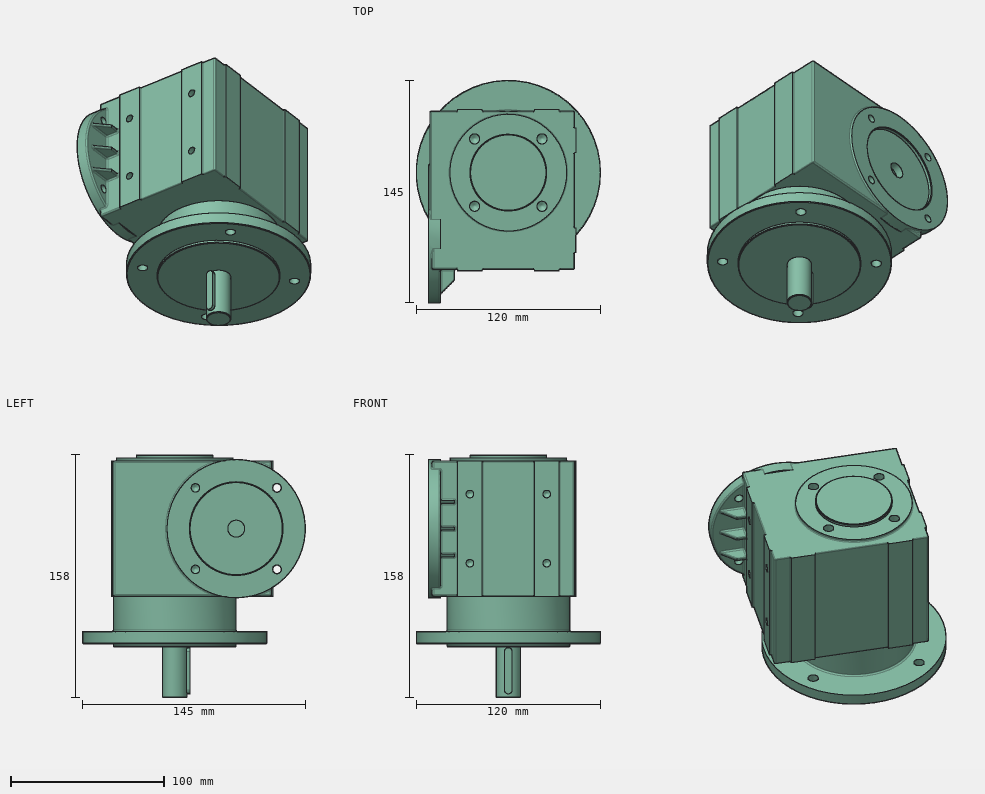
import cadquery as cq
import math


BODY_LEFT = -51.0
CORNER_LEFT = -49.5
BODY_RIGHT = 43.0
BODY_FRONT = -63.0
BODY_BACK = 40.0
BODY_HALF_HEIGHT = 44.0
LARGE_EDGE_RADIUS = 1.0
SMALL_EDGE_RADIUS = 0.5
BODY_CENTER_Y = (BODY_FRONT + BODY_BACK) / 2

PAD_WIDTH = 16.0
PAD_HEIGHT = 1.0
PAD_ROOT_DEPTH = 2.0
PAD_FOOT_RADIUS = 0.5
FRONT_PAD_OFFSET = 25.0
SIDE_PAD_OFFSET = 32.5
PAD_HOLE_DIAMETER = 4.92
PAD_HOLE_OFFSET_Z = 22.5
PAD_HOLE_DEPTH = 12.0

COVER_DIAMETER = 76.0
COVER_HEIGHT = 2.0
COVER_FOOT_RADIUS = 0.5
CAP_DIAMETER = 50.0
CAP_HEIGHT = 2.0
CAP_CHAMFER = 0.5
COVER_HOLE_DIAMETER = 6.6
COVER_HOLE_CIRCLE = 62.0
COVER_HOLE_DEPTH = 12.0

NECK_DIAMETER = 80.0
NECK_LENGTH = 23.0
NECK_FOOT_RADIUS = 1.0
FLANGE_DIAMETER = 120.0
FLANGE_THICKNESS = 8.0
FLANGE_HOLE_DIAMETER = 6.6
FLANGE_HOLE_CIRCLE = 100.0
SPIGOT_HEIGHT = 2.0
EDGE_CHAMFER = 0.5
SHAFT_DIAMETER = 16.0
SHAFT_LENGTH = 33.0
KEY_WIDTH = 5.0
KEY_LENGTH = 30.0
KEY_GAP = 0.5
KEY_TOP = 10.0
KEY_DEPTH = 5.0

INPUT_AXIS_Y = -40.0
INPUT_DIAMETER = 90.0
INPUT_FACE_X = -52.0
INPUT_THICKNESS = 8.0
INPUT_BACK_X = INPUT_FACE_X + INPUT_THICKNESS
INPUT_BACK_RADIUS = 1.0
INPUT_FOOT_RADIUS = 0.95
RECESS_DIAMETER = 60.0
RECESS_DEPTH = 2.5
RECESS_CHAMFER = 0.5
BORE_DIAMETER = 11.0
INPUT_HOLE_DIAMETER = 5.5
INPUT_HOLE_CIRCLE = 75.0
INPUT_HOLE_DEPTH = 14.0

RIB_COUNT = 3
RIB_PITCH = 17.4
RIB_THICKNESS = 2.0
RIB_WIDTH = 9.0
RIB_STRAIGHT = 7.0
RIB_EDGE_RADIUS = 0.5

DRILL_TIP_ANGLE = 118.0

SELECT_MARGIN = 0.05

FLANGE_TOP_Z = -BODY_HALF_HEIGHT - NECK_LENGTH
FLANGE_BOTTOM_Z = FLANGE_TOP_Z - FLANGE_THICKNESS
SPIGOT_BOTTOM_Z = FLANGE_BOTTOM_Z - SPIGOT_HEIGHT


def disc(bottom_z, diameter, height):
    """Upright cylinder on the output axis."""
    return cq.Workplane("XY").workplane(offset=bottom_z).circle(diameter / 2).extrude(height)


def block(x_range, y_range, z_range):
    """Box between the given limits."""
    size = [high - low for low, high in (x_range, y_range, z_range)]
    return cq.Workplane("XY").box(*size, centered=False).translate((x_range[0], y_range[0], z_range[0]))


def drilled_hole(point, direction, diameter, depth):
    """Blind hole with a conical drill tip, starting at point and running along direction."""
    start = cq.Vector(*point)
    axis = cq.Vector(*direction)
    radius = diameter / 2
    tip_length = radius / math.tan(math.radians(DRILL_TIP_ANGLE / 2))
    barrel = cq.Solid.makeCylinder(radius, depth, start, axis)
    tip = cq.Solid.makeCone(radius, 0, tip_length, start + axis * depth, axis)
    return cq.Workplane("XY").add(barrel.fuse(tip))


def square_pattern(circle_diameter):
    """Four points at 45 degrees on a bolt circle."""
    offset = circle_diameter / 2 / math.sqrt(2)
    return [(u * offset, v * offset) for u in (-1, 1) for v in (-1, 1)]


def around(*limits):
    """Range spanning the given coordinates, widened by the selection margin."""
    return min(limits) - SELECT_MARGIN, max(limits) + SELECT_MARGIN


def edges_within(x_range, y_range, z_range):
    """Selector for the edges that lie wholly between the given limits."""
    low, high = [tuple(corner) for corner in zip(x_range, y_range, z_range)]
    return cq.selectors.BoxSelector(low, high, boundingbox=True)


def make_housing():
    """Block whose left end and front left rims are rounded more than its other rims."""
    split_x = -FRONT_PAD_OFFSET
    z_range = (-BODY_HALF_HEIGHT, BODY_HALF_HEIGHT)
    left = block((BODY_LEFT, split_x), (INPUT_AXIS_Y, BODY_BACK), z_range)
    left = left.edges("<X and (not <Y)").fillet(LARGE_EDGE_RADIUS)
    left = left.faces(">Y").edges("|X").fillet(SMALL_EDGE_RADIUS)
    corner = block((CORNER_LEFT, split_x), (BODY_FRONT, INPUT_AXIS_Y), z_range)
    corner = corner.edges("(<X and (not >Y)) or (<Y and #Z)").fillet(LARGE_EDGE_RADIUS)
    right = block((split_x, BODY_RIGHT), (BODY_FRONT, BODY_BACK), z_range)
    right = right.edges(">X and |Z").fillet(LARGE_EDGE_RADIUS)
    right = right.faces(">X").edges("|Y").fillet(SMALL_EDGE_RADIUS)
    return left.union(corner).union(right)


def make_pad(face_x, face_y, turn):
    """Full-height pad with flared foot; its root squares off the rounded rims of the block."""
    half = PAD_WIDTH / 2
    foot_half = half + PAD_FOOT_RADIUS
    foot_bend = PAD_FOOT_RADIUS * (1 - math.sqrt(0.5))
    pad = (
        cq.Workplane("XY")
        .workplane(offset=-BODY_HALF_HEIGHT)
        .moveTo(-half, PAD_HEIGHT)
        .lineTo(half, PAD_HEIGHT)
        .lineTo(half, PAD_FOOT_RADIUS)
        .threePointArc((half + foot_bend, foot_bend), (foot_half, 0))
        .lineTo(foot_half, -PAD_ROOT_DEPTH)
        .lineTo(-foot_half, -PAD_ROOT_DEPTH)
        .lineTo(-foot_half, 0)
        .threePointArc((-half - foot_bend, foot_bend), (-half, PAD_FOOT_RADIUS))
        .close()
        .extrude(2 * BODY_HALF_HEIGHT)
    )
    return pad.rotate((0, 0, 0), (0, 0, 1), turn).translate((face_x, face_y, 0))


def make_pads():
    """Two pads on each of the front, back and right faces."""
    pads = []
    for side in (-1, 1):
        pads.append(make_pad(side * FRONT_PAD_OFFSET, BODY_FRONT, 180))
        pads.append(make_pad(side * FRONT_PAD_OFFSET, BODY_BACK, 0))
        pads.append(make_pad(BODY_RIGHT, BODY_CENTER_Y + side * SIDE_PAD_OFFSET, -90))
    return pads


def make_cover():
    """Round cover with a filleted foot and a raised cap."""
    cover = (
        cq.Workplane("XZ")
        .moveTo(0, BODY_HALF_HEIGHT)
        .lineTo(COVER_DIAMETER / 2 + COVER_FOOT_RADIUS, BODY_HALF_HEIGHT)
        .radiusArc((COVER_DIAMETER / 2, BODY_HALF_HEIGHT + COVER_FOOT_RADIUS), COVER_FOOT_RADIUS)
        .lineTo(COVER_DIAMETER / 2, BODY_HALF_HEIGHT + COVER_HEIGHT)
        .lineTo(0, BODY_HALF_HEIGHT + COVER_HEIGHT)
        .close()
        .revolve(360, (0, 0, 0), (0, 1, 0))
    )
    cap = disc(BODY_HALF_HEIGHT + COVER_HEIGHT, CAP_DIAMETER, CAP_HEIGHT)
    return cover.union(cap.faces(">Z").edges().chamfer(CAP_CHAMFER))


def make_output():
    """Neck, flange, spigot and keyed shaft."""
    neck = disc(FLANGE_TOP_Z, NECK_DIAMETER, NECK_LENGTH)
    flange = disc(FLANGE_BOTTOM_Z, FLANGE_DIAMETER, FLANGE_THICKNESS)
    flange = flange.faces("<Z").edges().chamfer(EDGE_CHAMFER)
    neck_span = around(-NECK_DIAMETER / 2, NECK_DIAMETER / 2)
    foot = edges_within(neck_span, neck_span, around(FLANGE_TOP_Z))
    output = neck.union(flange).edges(foot).fillet(NECK_FOOT_RADIUS)
    spigot = disc(SPIGOT_BOTTOM_Z, NECK_DIAMETER, SPIGOT_HEIGHT)
    output = output.union(spigot.faces("<Z").edges().chamfer(EDGE_CHAMFER))
    shaft = disc(SPIGOT_BOTTOM_Z - SHAFT_LENGTH, SHAFT_DIAMETER, SHAFT_LENGTH)
    output = output.union(shaft.faces("<Z").edges().chamfer(EDGE_CHAMFER))
    key_center_z = SPIGOT_BOTTOM_Z - KEY_GAP - KEY_LENGTH / 2
    key = (
        cq.Workplane("XZ", origin=(0, -KEY_TOP, key_center_z))
        .slot2D(KEY_LENGTH, KEY_WIDTH, 90)
        .extrude(-KEY_DEPTH)
    )
    holes = (
        cq.Workplane("XY")
        .workplane(offset=FLANGE_BOTTOM_Z)
        .pushPoints(square_pattern(FLANGE_HOLE_CIRCLE))
        .circle(FLANGE_HOLE_DIAMETER / 2)
        .extrude(FLANGE_THICKNESS)
    )
    return output.union(key).cut(holes)


def make_rib(center_z):
    """Gusset between the back of the input flange and the front of the block."""
    outline = [
        (INPUT_BACK_X, BODY_FRONT),
        (INPUT_BACK_X, BODY_FRONT - RIB_STRAIGHT - RIB_WIDTH),
        (INPUT_BACK_X + RIB_WIDTH, BODY_FRONT - RIB_STRAIGHT),
        (INPUT_BACK_X + RIB_WIDTH, BODY_FRONT),
    ]
    plane = cq.Workplane("XY").workplane(offset=center_z - RIB_THICKNESS / 2)
    rib = plane.polyline(outline).close().extrude(RIB_THICKNESS)
    return rib.faces("<Z or >Z").edges("not (<X or >Y)").fillet(RIB_EDGE_RADIUS)


def input_foot_edges():
    """Selector for the edges where the input flange and ribs meet the block and each other."""
    flange_radius = INPUT_DIAMETER / 2
    ribs_end_z = RIB_COUNT * RIB_PITCH / 2
    rib_end_x = INPUT_BACK_X + RIB_WIDTH
    rib_end_y = BODY_FRONT - RIB_STRAIGHT - RIB_WIDTH
    front_half_height = math.sqrt(flange_radius**2 - (INPUT_AXIS_Y - BODY_FRONT) ** 2)
    left_arcs = edges_within(
        around(BODY_LEFT, CORNER_LEFT),
        around(INPUT_AXIS_Y - flange_radius, INPUT_AXIS_Y + flange_radius),
        around(-flange_radius, flange_radius),
    )
    front_lines = edges_within(
        around(CORNER_LEFT + LARGE_EDGE_RADIUS, rib_end_x),
        around(BODY_FRONT),
        around(-front_half_height, front_half_height),
    )
    rib_lines = edges_within(
        around(INPUT_BACK_X),
        around(rib_end_y, BODY_FRONT),
        around(-ribs_end_z, ribs_end_z),
    )
    return (left_arcs & cq.selectors.TypeSelector("CIRCLE")) + front_lines + rib_lines


def add_input_flange(part):
    """Input flange and its ribs, with a rounded foot where they meet the block."""
    flange = (
        cq.Workplane("YZ", origin=(INPUT_FACE_X, INPUT_AXIS_Y, 0))
        .circle(INPUT_DIAMETER / 2)
        .extrude(INPUT_THICKNESS)
    )
    part = part.union(flange)
    input_front = INPUT_AXIS_Y - INPUT_DIAMETER / 2
    rim = cq.selectors.NearestToPointSelector((INPUT_BACK_X, input_front, 0))
    part = part.edges(rim).fillet(INPUT_BACK_RADIUS)
    for index in range(RIB_COUNT):
        part = part.union(make_rib((index - (RIB_COUNT - 1) / 2) * RIB_PITCH))
    return part.edges(input_foot_edges()).fillet(INPUT_FOOT_RADIUS)


def cut_holes(part):
    """Cover, pad and input flange holes, and the recess and bore in the input face."""
    cover_top = BODY_HALF_HEIGHT + COVER_HEIGHT
    for x, y in square_pattern(COVER_HOLE_CIRCLE):
        part = part.cut(drilled_hole((x, y, cover_top), (0, 0, -1), COVER_HOLE_DIAMETER, COVER_HOLE_DEPTH))
    pad_face = BODY_FRONT - PAD_HEIGHT
    for x in (-FRONT_PAD_OFFSET, FRONT_PAD_OFFSET):
        for z in (-PAD_HOLE_OFFSET_Z, PAD_HOLE_OFFSET_Z):
            part = part.cut(drilled_hole((x, pad_face, z), (0, 1, 0), PAD_HOLE_DIAMETER, PAD_HOLE_DEPTH))
    for u, z in square_pattern(INPUT_HOLE_CIRCLE):
        point = (INPUT_FACE_X, INPUT_AXIS_Y + u, z)
        part = part.cut(drilled_hole(point, (1, 0, 0), INPUT_HOLE_DIAMETER, INPUT_HOLE_DEPTH))
    input_face = cq.Workplane("YZ", origin=(INPUT_FACE_X, INPUT_AXIS_Y, 0))
    part = part.cut(input_face.circle(RECESS_DIAMETER / 2).extrude(RECESS_DEPTH))
    mouth = cq.Solid.makeCone(
        RECESS_DIAMETER / 2 + RECESS_CHAMFER,
        RECESS_DIAMETER / 2,
        RECESS_CHAMFER,
        cq.Vector(INPUT_FACE_X, INPUT_AXIS_Y, 0),
        cq.Vector(1, 0, 0),
    )
    part = part.cut(cq.Workplane("XY").add(mouth))
    return part.cut(input_face.circle(BORE_DIAMETER / 2).extrude(INPUT_THICKNESS))


result = make_housing()
result = add_input_flange(result)
for pad in make_pads():
    result = result.union(pad)
result = result.union(make_cover()).union(make_output())
result = cut_holes(result)